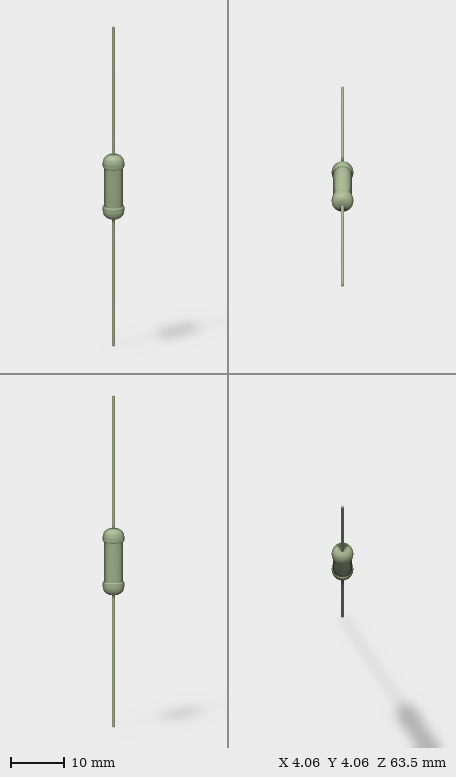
import cadquery as cq
import math

overall_length = 63.5
wire_diameter = 0.508

body_length = 12.7
cap_diameter = 4.064
cap_length = 2.54
dome_radius = 1.524
shoulder_round = 0.254

wire_radius = wire_diameter / 2
cap_radius = cap_diameter / 2
barrel_radius = cap_radius - shoulder_round
body_half = body_length / 2
shoulder_z = body_half - cap_length
dome_base_z = body_half - dome_radius
end_flat_radius = cap_radius - dome_radius
round_top_z = shoulder_z + shoulder_round


def point_at_45_degrees(center_r, center_z, arc_radius, z_direction):
    """Middle of an outward quarter arc, as (radius, z)."""
    offset = arc_radius * math.sqrt(0.5)
    return (center_r + offset, center_z + z_direction * offset)


def make_body():
    """Barrel with a domed cap at each end, revolved from one half outline."""
    upper_dome_mid = point_at_45_degrees(end_flat_radius, dome_base_z, dome_radius, 1)
    upper_round_mid = point_at_45_degrees(barrel_radius, round_top_z, shoulder_round, -1)
    lower_round_mid = point_at_45_degrees(barrel_radius, -round_top_z, shoulder_round, 1)
    lower_dome_mid = point_at_45_degrees(end_flat_radius, -dome_base_z, dome_radius, -1)
    outline = (
        cq.Workplane("XZ")
        .moveTo(0, body_half)
        .lineTo(end_flat_radius, body_half)
        .threePointArc(upper_dome_mid, (cap_radius, dome_base_z))
        .lineTo(cap_radius, round_top_z)
        .threePointArc(upper_round_mid, (barrel_radius, shoulder_z))
        .lineTo(barrel_radius, -shoulder_z)
        .threePointArc(lower_round_mid, (cap_radius, -round_top_z))
        .lineTo(cap_radius, -dome_base_z)
        .threePointArc(lower_dome_mid, (end_flat_radius, -body_half))
        .lineTo(0, -body_half)
        .close()
    )
    return outline.revolve(360, (0, 0, 0), (0, 1, 0))


def make_lead_wire():
    """One straight wire running the full length of the part."""
    lower_end = cq.Workplane("XY", origin=(0, 0, -overall_length / 2))
    return lower_end.circle(wire_radius).extrude(overall_length)


result = make_body().union(make_lead_wire())